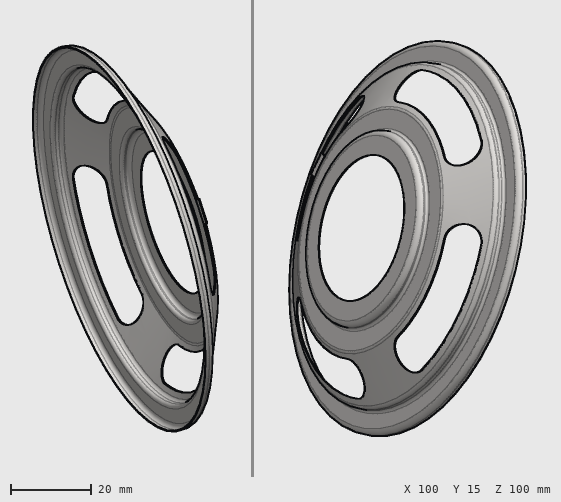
import cadquery as cq
import math

SHEET = 0.3

RIM_RADIUS = 50.0
WALL_RADIUS = 44.0
PLATE_RADIUS = 31.0
CAP_RADIUS = 25.0
BORE_RADIUS = 18.5

RIM_LEVEL = 2.5
PLATE_LEVEL = 12.5
CAP_LEVEL = 15.0
CONE_ANGLE = 30.0

OUTER_BEND = 1.5
BASE_BEND = 0.7
CONE_BEND = 1.5

SLOT_COUNT = 4
SLOT_INNER_RADIUS = 32.65
SLOT_OUTER_RADIUS = 41.7
SPOKE_HALF_WIDTH = 7.75

TAB_ANGLE = 45.0
TAB_WIDTH = 6.4
TAB_TIP_RADIUS = 34.6


def cone_level(radius):
    """Y of the back skin of the cone at a given radius."""
    return PLATE_LEVEL - (radius - PLATE_RADIUS) * math.tan(math.radians(CONE_ANGLE))


def make_sheet():
    """Revolved shell: back skin from the rim to the bore, then front skin from the bore to the rim."""
    cone_drop = SHEET / math.cos(math.radians(CONE_ANGLE))
    front_wall_radius = WALL_RADIUS - SHEET
    front_wall_level = cone_level(front_wall_radius) - cone_drop
    front_plate_radius = PLATE_RADIUS - SHEET * math.tan(math.radians(CONE_ANGLE / 2))

    corners = [
        (RIM_RADIUS, 0, 0),
        (RIM_RADIUS, RIM_LEVEL, OUTER_BEND),
        (WALL_RADIUS, RIM_LEVEL, BASE_BEND),
        (WALL_RADIUS, cone_level(WALL_RADIUS), CONE_BEND),
        (PLATE_RADIUS, PLATE_LEVEL, CONE_BEND),
        (CAP_RADIUS, PLATE_LEVEL, BASE_BEND),
        (CAP_RADIUS, CAP_LEVEL, OUTER_BEND),
        (BORE_RADIUS, CAP_LEVEL, 0),
        (BORE_RADIUS, CAP_LEVEL - SHEET, 0),
        (CAP_RADIUS - SHEET, CAP_LEVEL - SHEET, OUTER_BEND - SHEET),
        (CAP_RADIUS - SHEET, PLATE_LEVEL - SHEET, BASE_BEND + SHEET),
        (front_plate_radius, PLATE_LEVEL - SHEET, CONE_BEND - SHEET),
        (front_wall_radius, front_wall_level, CONE_BEND - SHEET),
        (front_wall_radius, RIM_LEVEL - SHEET, BASE_BEND + SHEET),
        (RIM_RADIUS - SHEET, RIM_LEVEL - SHEET, OUTER_BEND - SHEET),
        (RIM_RADIUS - SHEET, 0, 0),
    ]
    return rounded_profile(corners).revolve(360, (0, 0, 0), (0, 1, 0))


def rounded_profile(corners):
    """Closed XY outline through the corners, with a tangent arc at each corner that has a bend."""
    points = [cq.Vector(radius, level, 0) for radius, level, _ in corners]
    outline = cq.Workplane("XY").moveTo(points[0].x, points[0].y)
    for i in range(1, len(corners)):
        corner = points[i]
        bend = corners[i][2]
        if bend == 0:
            outline = outline.lineTo(corner.x, corner.y)
            continue
        to_previous = (points[i - 1] - corner).normalized()
        to_next = (points[(i + 1) % len(corners)] - corner).normalized()
        half_angle = to_previous.getAngle(to_next) / 2
        tangent_length = bend / math.tan(half_angle)
        start = corner + to_previous * tangent_length
        end = corner + to_next * tangent_length
        apex_distance = bend / math.sin(half_angle) - bend
        middle = corner + (to_previous + to_next).normalized() * apex_distance
        outline = outline.lineTo(start.x, start.y)
        outline = outline.threePointArc((middle.x, middle.y), (end.x, end.y))
    return outline.close()


def make_slot():
    """Round-ended arc slot centred on +X and extruded through the full depth along Y."""
    mid_radius = (SLOT_INNER_RADIUS + SLOT_OUTER_RADIUS) / 2
    end_radius = (SLOT_OUTER_RADIUS - SLOT_INNER_RADIUS) / 2
    half_spoke_angle = math.degrees(math.asin((SPOKE_HALF_WIDTH + end_radius) / mid_radius))
    half_slot_angle = 180 / SLOT_COUNT - half_spoke_angle

    def polar(radius, angle):
        turn = math.radians(angle)
        return (radius * math.cos(turn), radius * math.sin(turn))

    def end_apex(side):
        x, z = polar(mid_radius, side * half_slot_angle)
        dx, dz = polar(end_radius, side * (half_slot_angle + 90))
        return (x + dx, z + dz)

    return (
        cq.Workplane("XZ")
        .moveTo(*polar(SLOT_INNER_RADIUS, -half_slot_angle))
        .threePointArc((SLOT_INNER_RADIUS, 0), polar(SLOT_INNER_RADIUS, half_slot_angle))
        .threePointArc(end_apex(1), polar(SLOT_OUTER_RADIUS, half_slot_angle))
        .threePointArc((SLOT_OUTER_RADIUS, 0), polar(SLOT_OUTER_RADIUS, -half_slot_angle))
        .threePointArc(end_apex(-1), polar(SLOT_INNER_RADIUS, -half_slot_angle))
        .close()
        .extrude(-CAP_LEVEL)
    )


def turned(shape, angle):
    """Turn a shape about the Y axis from +X towards +Z."""
    return shape.rotate((0, 0, 0), (0, 1, 0), -angle)


def make_tab():
    """Flat tab level with the cone at the slot's inner edge, reaching out into the slot."""
    root_radius = math.sqrt(SLOT_INNER_RADIUS**2 - (TAB_WIDTH / 2) ** 2)
    front_level = cone_level(SLOT_INNER_RADIUS) - SHEET
    tab = cq.Workplane("XY").box(
        TAB_TIP_RADIUS - root_radius, SHEET, TAB_WIDTH, centered=(False, False, True)
    )
    return turned(tab.translate((root_radius, front_level, 0)), TAB_ANGLE)


basket = make_sheet()
slot = make_slot()
slot_pitch = 360 / SLOT_COUNT
for index in range(SLOT_COUNT):
    basket = basket.cut(turned(slot, (index + 0.5) * slot_pitch))

result = basket.union(make_tab())